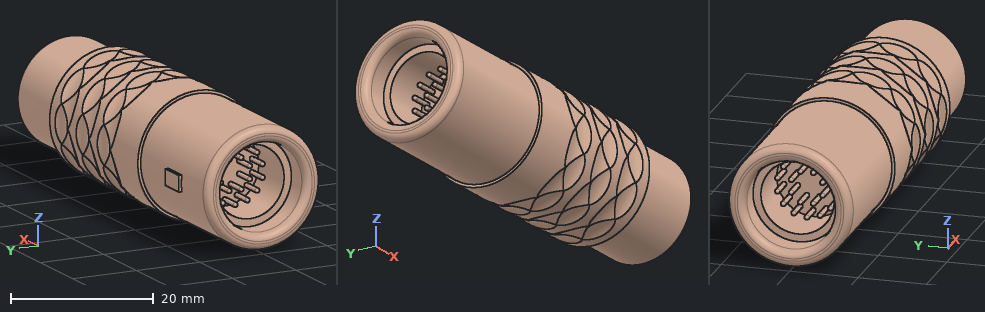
import cadquery as cq
import math

total_length = 60.3
nose_radius = 9.05
collar_diameter = 19.0
collar_radius = collar_diameter / 2
tail_radius = 8.2
collar_start = 20.2
collar_end = 47.35
nose_fillet = 1.1
tail_fillet = 0.7

mouth_radius = 6.5
socket_radius = 5.35
mouth_depth = 4.2
socket_depth = 12.05

pin_radius = 0.35
pin_length = 3.6
pin_rings = [(14, 4.4, 0.0), (8, 2.5, 22.5)]

key_start = 7.65
key_length = 4.15
key_width = 2.4

scallops_per_row = 10
scallop_length = 3.8
scallop_depth = 0.55
first_row_x = 29.55
row_offset = 1.2
band_count = 3
band_pitch = 6.5
cutter_width = 7.25


def x_cylinder(radius, start, end):
    """Solid cylinder on the X axis between two stations."""
    return cq.Workplane("YZ", origin=(start, 0, 0)).circle(radius).extrude(end - start)


def make_scallop_cutters():
    """Cylinders lying tangentially around the collar, each cutting one shallow scallop."""
    half_length = scallop_length / 2
    cutter_radius = (half_length ** 2 + scallop_depth ** 2) / (2 * scallop_depth)
    axis_height = collar_radius - scallop_depth + cutter_radius
    step = 360 / scallops_per_row
    rows = [(first_row_x, 0), (first_row_x + row_offset, step / 2)]
    cutters = []
    for band in range(band_count):
        for row_x, row_angle in rows:
            x = row_x + band * band_pitch
            start = cq.Vector(x, -cutter_width / 2, axis_height)
            cutter = cq.Solid.makeCylinder(cutter_radius, cutter_width, start, cq.Vector(0, 1, 0))
            for index in range(scallops_per_row):
                cutters.append(cutter.rotate(cq.Vector(), cq.Vector(1, 0, 0), row_angle + index * step))
    return cutters


def make_collar():
    """Grip collar with the scallops cut one at a time."""
    collar = x_cylinder(collar_radius, collar_start, collar_end).val()
    for cutter in make_scallop_cutters():
        collar = collar.cut(cutter)
    return collar.Solids()[0]


def make_shell():
    """Nose with its stepped socket, scalloped collar and plain tail."""
    nose = x_cylinder(nose_radius, 0, collar_start)
    nose = nose.cut(x_cylinder(mouth_radius, 0, mouth_depth))
    nose = nose.cut(x_cylinder(socket_radius, 0, socket_depth))
    nose = nose.faces("<X").edges().fillet(nose_fillet)
    collar = cq.Workplane(make_collar())
    tail = x_cylinder(tail_radius, collar_end, total_length).faces(">X").edges().fillet(tail_fillet)
    return nose.union(collar).union(tail)


def make_key():
    """Raised key whose top follows the collar radius and whose base sits inside the nose wall."""
    wall_middle = (mouth_radius + nose_radius) / 2
    bar = cq.Workplane("XY").box(
        key_length, collar_radius - wall_middle, key_width, centered=(False, False, True)
    )
    bar = bar.translate((key_start, wall_middle, 0))
    return bar.intersect(x_cylinder(collar_radius, key_start, key_start + key_length))


def make_pins():
    """Round-ended pins standing on the socket floor."""
    pins = []
    for count, ring_radius, first_angle in pin_rings:
        for index in range(count):
            angle = math.radians(first_angle + index * 360 / count)
            y = ring_radius * math.sin(angle)
            z = ring_radius * math.cos(angle)
            tip = socket_depth - pin_length
            shank = x_cylinder(pin_radius, tip + pin_radius, socket_depth + pin_radius)
            dome = cq.Workplane("XY").sphere(pin_radius).translate((tip + pin_radius, 0, 0))
            pins.append(shank.union(dome).translate((0, y, z)).val())
    return pins


body = make_shell().union(make_key()).val().fuse(*make_pins())
result = cq.Workplane(body.Solids()[0])